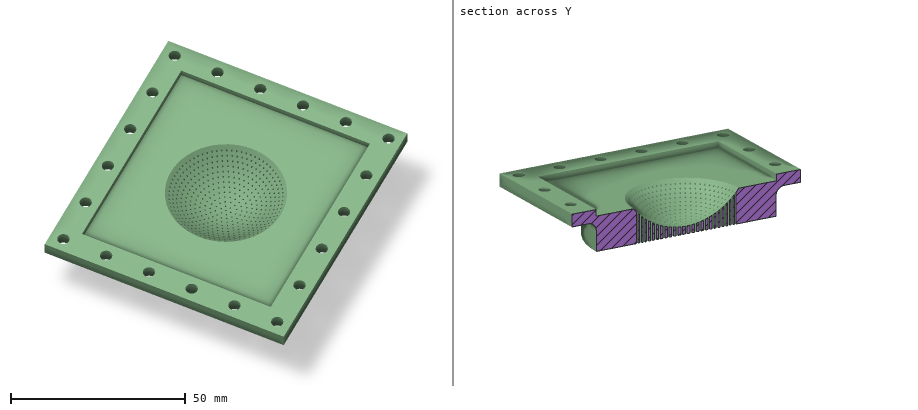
import cadquery as cq
import math

plate_x = 76.0
plate_y = 81.0
plate_thickness = 4.0

pocket_margin = 8.0
pocket_depth = 2.0

dimple_radius = 22.5
dimple_opening_diameter = 35.0
dimple_floor_thickness = 2.5

boss_diameter = 60.0
boss_fillet = 2.5

screw_hole_diameter = 3.5
screw_edge_distance = 4.0
screw_gaps_per_side = 5

perforation_diameter = 0.45
perforation_pitch = 1.52
perforation_rings = 12
holes_added_per_ring = 6

sphere_drop = math.sqrt(dimple_radius**2 - (dimple_opening_diameter / 2) ** 2)
dimple_depth = dimple_radius - sphere_drop
pocket_floor_z = dimple_floor_thickness + dimple_depth
top_z = pocket_floor_z + pocket_depth
plate_bottom_z = top_z - plate_thickness
sphere_center_z = dimple_floor_thickness + dimple_radius


def make_plate():
    """Flange plate, centred on the Z axis."""
    return (
        cq.Workplane("XY")
        .workplane(offset=plate_bottom_z)
        .rect(plate_x, plate_y)
        .extrude(plate_thickness)
    )


def make_boss():
    """Round boss whose top flares into the plate with a concave quarter-circle fillet."""
    boss_radius = boss_diameter / 2
    fillet_start_z = plate_bottom_z - boss_fillet
    fillet_inset = boss_fillet * (1 - math.sqrt(0.5))
    return (
        cq.Workplane("XZ")
        .lineTo(boss_radius, 0)
        .lineTo(boss_radius, fillet_start_z)
        .threePointArc(
            (boss_radius + fillet_inset, plate_bottom_z - fillet_inset),
            (boss_radius + boss_fillet, plate_bottom_z),
        )
        .lineTo(0, plate_bottom_z)
        .close()
        .revolve(360, (0, 0, 0), (0, 1, 0))
    )


def make_pocket():
    """Volume removed by the rectangular pocket."""
    return (
        cq.Workplane("XY")
        .workplane(offset=pocket_floor_z)
        .rect(plate_x - 2 * pocket_margin, plate_y - 2 * pocket_margin)
        .extrude(pocket_depth)
    )


def make_dimple():
    """Spherical cap below the pocket floor, extended straight up to the plate top."""
    opening_radius = dimple_opening_diameter / 2
    half_angle = math.asin(opening_radius / dimple_radius) / 2
    arc_middle = (
        dimple_radius * math.sin(half_angle),
        sphere_center_z - dimple_radius * math.cos(half_angle),
    )
    return (
        cq.Workplane("XZ")
        .moveTo(0, dimple_floor_thickness)
        .threePointArc(arc_middle, (opening_radius, pocket_floor_z))
        .lineTo(opening_radius, top_z)
        .lineTo(0, top_z)
        .close()
        .revolve(360, (0, 0, 0), (0, 1, 0))
    )


def screw_hole_points():
    """Evenly spaced points around the edge; every corner is shared by two sides."""
    span_x = plate_x - 2 * screw_edge_distance
    span_y = plate_y - 2 * screw_edge_distance
    points = []
    for column in range(screw_gaps_per_side + 1):
        for row in range(screw_gaps_per_side + 1):
            on_edge = column in (0, screw_gaps_per_side) or row in (0, screw_gaps_per_side)
            if on_edge:
                x = span_x * (column / screw_gaps_per_side - 0.5)
                y = span_y * (row / screw_gaps_per_side - 0.5)
                points.append((x, y))
    return points


def perforation_points():
    """A centre hole, then rings that each hold six more holes than the ring inside."""
    points = [(0, 0)]
    for ring in range(1, perforation_rings + 1):
        ring_radius = dimple_radius * math.sin(ring * perforation_pitch / dimple_radius)
        hole_count = holes_added_per_ring * ring
        for hole in range(hole_count):
            angle = 2 * math.pi * hole / hole_count
            points.append((ring_radius * math.cos(angle), ring_radius * math.sin(angle)))
    return points


def make_vertical_holes(points, diameter):
    """Cylinders spanning the full height of the part."""
    return (
        cq.Workplane("XY")
        .pushPoints(points)
        .circle(diameter / 2)
        .extrude(top_z, combine=False)
    )


result = (
    make_plate()
    .union(make_boss())
    .cut(make_pocket())
    .cut(make_dimple())
    .cut(make_vertical_holes(screw_hole_points(), screw_hole_diameter))
    .cut(make_vertical_holes(perforation_points(), perforation_diameter))
)